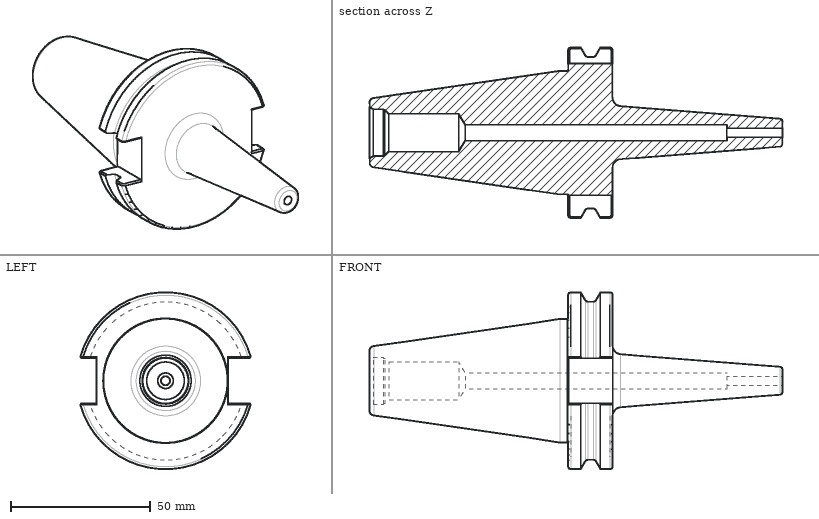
import cadquery as cq
import math


SELECTION_MARGIN = 0.01
CUT_OVERSHOOT = 1.0

GAUGE_DIAMETER = 44.45
TAPER_RATIO = 7 / 24
TAPER_LENGTH = 68.25
TAPER_END_FILLET = 1.9

FLANGE_DIAMETER = 63.55
FLANGE_START = 3.0
FLANGE_END = 19.05
FLANGE_FILLET = 1.0
FLANGE_CORNER_FILLET = 0.2

GROOVE_CENTER = 11.1
GROOVE_FLOOR_DIAMETER = 56.8
GROOVE_FLOOR_WIDTH = 3.2
GROOVE_HALF_ANGLE = math.radians(30)
GROOVE_FILLET = 1.1

SLOT_WIDTH = 16.1
SLOT_FLOOR_PLUS_Y = 24.9
SLOT_FLOOR_MINUS_Y = 22.5
SLOT_RIM_CHAMFER = 0.6
SLOT_FACE_CHAMFER = 0.2

NOSE_END = 80.0
NOSE_TIP_DIAMETER = 10.0
NOSE_HALF_ANGLE = math.radians(4.5)
NOSE_ROOT_FILLET = 3.0
NOSE_TIP_FILLET = 1.2

MOUTH_DIAMETER = 18.4
MOUTH_HALF_ANGLE = math.radians(30)
COUNTERBORE_DIAMETER = 16.7
COUNTERBORE_DEPTH = 5.0
RECESS_DIAMETER = 16.3
RECESS_DEPTH = 5.5
THREAD_BORE_DIAMETER = 13.49
THREAD_BORE_DEPTH = 32.0
DRILL_HALF_ANGLE = math.radians(59)
COOLANT_DIAMETER = 5.6
TOOL_DIAMETER = 3.17
TOOL_BORE_LENGTH = 20.0


def revolve_profile(points):
    """Revolve a closed outline of (x, radius) points about the X axis."""
    return cq.Workplane("XY").polyline(points).close().revolve(360, (0, 0, 0), (1, 0, 0))


def circle_at(x, radius):
    """Select the circular edge around the X axis with the given place and radius."""
    def box(half_side):
        return cq.selectors.BoxSelector(
            (x - SELECTION_MARGIN, -half_side, -half_side),
            (x + SELECTION_MARGIN, half_side, half_side),
            boundingbox=True,
        )

    return box(radius + SELECTION_MARGIN) - box(radius - SELECTION_MARGIN)


def make_body():
    """Taper, flange and nose as one turned solid with rounded edges."""
    small_radius = (GAUGE_DIAMETER - TAPER_LENGTH * TAPER_RATIO) / 2
    gauge_radius = GAUGE_DIAMETER / 2
    flange_radius = FLANGE_DIAMETER / 2
    tip_radius = NOSE_TIP_DIAMETER / 2
    root_radius = tip_radius + (NOSE_END - FLANGE_END) * math.tan(NOSE_HALF_ANGLE)
    body = revolve_profile([
        (-TAPER_LENGTH, 0),
        (-TAPER_LENGTH, small_radius),
        (0, gauge_radius),
        (FLANGE_START, gauge_radius),
        (FLANGE_START, flange_radius),
        (FLANGE_END, flange_radius),
        (FLANGE_END, root_radius),
        (NOSE_END, tip_radius),
        (NOSE_END, 0),
    ])
    body = body.edges(circle_at(-TAPER_LENGTH, small_radius)).fillet(TAPER_END_FILLET)
    for flange_side in (FLANGE_START, FLANGE_END):
        body = body.edges(circle_at(flange_side, flange_radius)).fillet(FLANGE_FILLET)
    body = body.edges(circle_at(FLANGE_START, gauge_radius)).fillet(FLANGE_CORNER_FILLET)
    body = body.edges(circle_at(FLANGE_END, root_radius)).fillet(NOSE_ROOT_FILLET)
    return body.edges(circle_at(NOSE_END, tip_radius)).fillet(NOSE_TIP_FILLET)


def make_groove():
    """Ring with sloping flanks and a rounded floor, to be cut from the flange."""
    floor_radius = GROOVE_FLOOR_DIAMETER / 2
    outer_radius = FLANGE_DIAMETER / 2 + CUT_OVERSHOOT
    half_floor = GROOVE_FLOOR_WIDTH / 2
    half_mouth = half_floor + (outer_radius - floor_radius) * math.tan(GROOVE_HALF_ANGLE)
    groove = revolve_profile([
        (GROOVE_CENTER - half_floor, floor_radius),
        (GROOVE_CENTER + half_floor, floor_radius),
        (GROOVE_CENTER + half_mouth, outer_radius),
        (GROOVE_CENTER - half_mouth, outer_radius),
    ])
    for side in (-1, 1):
        floor_corner = circle_at(GROOVE_CENTER + side * half_floor, floor_radius)
        groove = groove.edges(floor_corner).fillet(GROOVE_FILLET)
    return groove


def make_slot(floor_distance, side):
    """Drive slot running the full flange width; side is +1 or -1 along Y."""
    depth = FLANGE_DIAMETER / 2
    middle_x = (FLANGE_START + FLANGE_END) / 2
    middle_y = side * (floor_distance + depth / 2)
    slot = cq.Workplane("XY").box(FLANGE_END - FLANGE_START, depth, SLOT_WIDTH)
    return slot.translate((middle_x, middle_y, 0))


def slot_edges(x_start, x_end, y_one, y_other):
    """Select edges lying within the width of the drive slots and the given X and Y limits."""
    half_width = SLOT_WIDTH / 2 + SELECTION_MARGIN
    low = (x_start - SELECTION_MARGIN, min(y_one, y_other) - SELECTION_MARGIN, -half_width)
    high = (x_end + SELECTION_MARGIN, max(y_one, y_other) + SELECTION_MARGIN, half_width)
    return cq.selectors.BoxSelector(low, high, boundingbox=True)


def cut_slot(body, floor_distance, side):
    """Cut one drive slot and chamfer its edges on the flange rim and face."""
    body = body.cut(make_slot(floor_distance, side))
    half_width = SLOT_WIDTH / 2
    face_radius = FLANGE_DIAMETER / 2 - FLANGE_FILLET
    floor_y = side * floor_distance
    rim_y = side * math.sqrt((FLANGE_DIAMETER / 2) ** 2 - half_width ** 2)
    face_y = side * math.sqrt(face_radius ** 2 - half_width ** 2)
    rim_edges = slot_edges(FLANGE_START, FLANGE_END, face_y, rim_y)
    face_edges = slot_edges(FLANGE_START, FLANGE_START, floor_y, rim_y)
    body = body.edges(rim_edges).chamfer(SLOT_RIM_CHAMFER)
    return body.edges(face_edges).chamfer(SLOT_FACE_CHAMFER)


def make_bore():
    """Stepped bore running through the whole part."""
    start = -TAPER_LENGTH
    mouth = MOUTH_DIAMETER / 2
    counterbore = COUNTERBORE_DIAMETER / 2
    recess = RECESS_DIAMETER / 2
    thread = THREAD_BORE_DIAMETER / 2
    coolant = COOLANT_DIAMETER / 2
    tool = TOOL_DIAMETER / 2
    mouth_depth = (mouth - counterbore) / math.tan(MOUTH_HALF_ANGLE)
    shoulder_length = recess - thread
    drill_point_length = (thread - coolant) / math.tan(DRILL_HALF_ANGLE)
    tool_start = NOSE_END - TOOL_BORE_LENGTH
    return revolve_profile([
        (start, 0),
        (start, mouth),
        (start + mouth_depth, counterbore),
        (start + COUNTERBORE_DEPTH, counterbore),
        (start + COUNTERBORE_DEPTH, recess),
        (start + RECESS_DEPTH, recess),
        (start + RECESS_DEPTH + shoulder_length, thread),
        (start + THREAD_BORE_DEPTH, thread),
        (start + THREAD_BORE_DEPTH + drill_point_length, coolant),
        (tool_start, coolant),
        (tool_start, tool),
        (NOSE_END, tool),
        (NOSE_END, 0),
    ])


result = make_body()
result = cut_slot(result, SLOT_FLOOR_PLUS_Y, 1)
result = cut_slot(result, SLOT_FLOOR_MINUS_Y, -1)
result = result.cut(make_groove())
result = result.cut(make_bore())